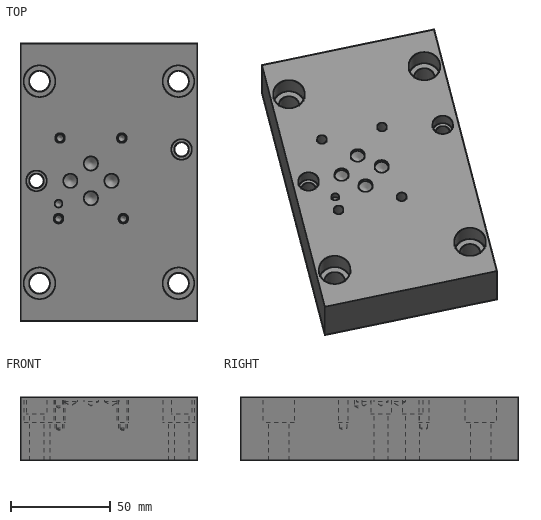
import cadquery as cq
import math

WIDTH = 88.8
LENGTH = 139.7
HEIGHT = 31.7

DRILL_POINT_ANGLE = 118.0

CORNER_PITCH_X = 69.8
CORNER_PITCH_Y = 101.5
CORNER_HOLE_DIAMETER = 10.3
CORNER_BORE_DIAMETER = 15.9
CORNER_BORE_DEPTH = 12.6

SIDE_OFFSET_X = 36.5
LEFT_SCREW_Y = 0.7
RIGHT_SCREW_Y = 16.5
SIDE_HOLE_DIAMETER = 7.1
SIDE_BORE_DIAMETER = 10.3
SIDE_BORE_DEPTH = 8.4

PATTERN_X = -9.1
PATTERN_Y = 0.7
PORT_PITCH_X = 20.7
PORT_PITCH_Y = 17.5
PORT_DIAMETER = 7.1
PORT_DEPTH = 2.1

REAR_ROW_Y = 22.2
FRONT_ROW_Y = -18.3
REAR_ROW_PITCH = 31.0
FRONT_ROW_PITCH = 32.5
THREAD_DIAMETER = 4.9
THREAD_DEPTH = 12.6
TAP_DRILL_DIAMETER = 3.8
TAP_DRILL_DEPTH = 15.4

PIN_OFFSET_Y = 7.5
PIN_DIAMETER = 3.9
PIN_DEPTH = 4.2


def bore(center, diameter, depth):
    """Flat-bottomed cylinder reaching down from the top face."""
    x, y = center
    return cq.Workplane("XY", origin=(x, y, HEIGHT)).circle(diameter / 2).extrude(-depth)


def drilling(center, diameter, depth):
    """Blind drilled hole: a cylinder of the given depth ending in a drill point."""
    x, y = center
    radius = diameter / 2
    tip_depth = depth + radius / math.tan(math.radians(DRILL_POINT_ANGLE / 2))
    half_profile = [(0, 0), (radius, 0), (radius, -depth), (0, -tip_depth)]
    return (
        cq.Workplane("XZ", origin=(x, y, HEIGHT))
        .polyline(half_profile)
        .close()
        .revolve(360, (0, 0), (0, 1))
    )


result = cq.Workplane("XY").box(WIDTH, LENGTH, HEIGHT, centered=(True, True, False))

for side_x in (-1, 1):
    for side_y in (-1, 1):
        corner = (side_x * CORNER_PITCH_X / 2, side_y * CORNER_PITCH_Y / 2)
        result = result.cut(bore(corner, CORNER_HOLE_DIAMETER, HEIGHT))
        result = result.cut(bore(corner, CORNER_BORE_DIAMETER, CORNER_BORE_DEPTH))

for side_screw in ((-SIDE_OFFSET_X, LEFT_SCREW_Y), (SIDE_OFFSET_X, RIGHT_SCREW_Y)):
    result = result.cut(bore(side_screw, SIDE_HOLE_DIAMETER, HEIGHT))
    result = result.cut(bore(side_screw, SIDE_BORE_DIAMETER, SIDE_BORE_DEPTH))

for side in (-1, 1):
    side_port = (PATTERN_X + side * PORT_PITCH_X / 2, PATTERN_Y)
    middle_port = (PATTERN_X, PATTERN_Y + side * PORT_PITCH_Y / 2)
    for port in (side_port, middle_port):
        result = result.cut(drilling(port, PORT_DIAMETER, PORT_DEPTH))

    for row_y, row_pitch in ((REAR_ROW_Y, REAR_ROW_PITCH), (FRONT_ROW_Y, FRONT_ROW_PITCH)):
        valve_screw = (PATTERN_X + side * row_pitch / 2, row_y)
        result = result.cut(bore(valve_screw, THREAD_DIAMETER, THREAD_DEPTH))
        result = result.cut(drilling(valve_screw, TAP_DRILL_DIAMETER, TAP_DRILL_DEPTH))

pin = (PATTERN_X - FRONT_ROW_PITCH / 2, FRONT_ROW_Y + PIN_OFFSET_Y)
result = result.cut(drilling(pin, PIN_DIAMETER, PIN_DEPTH))